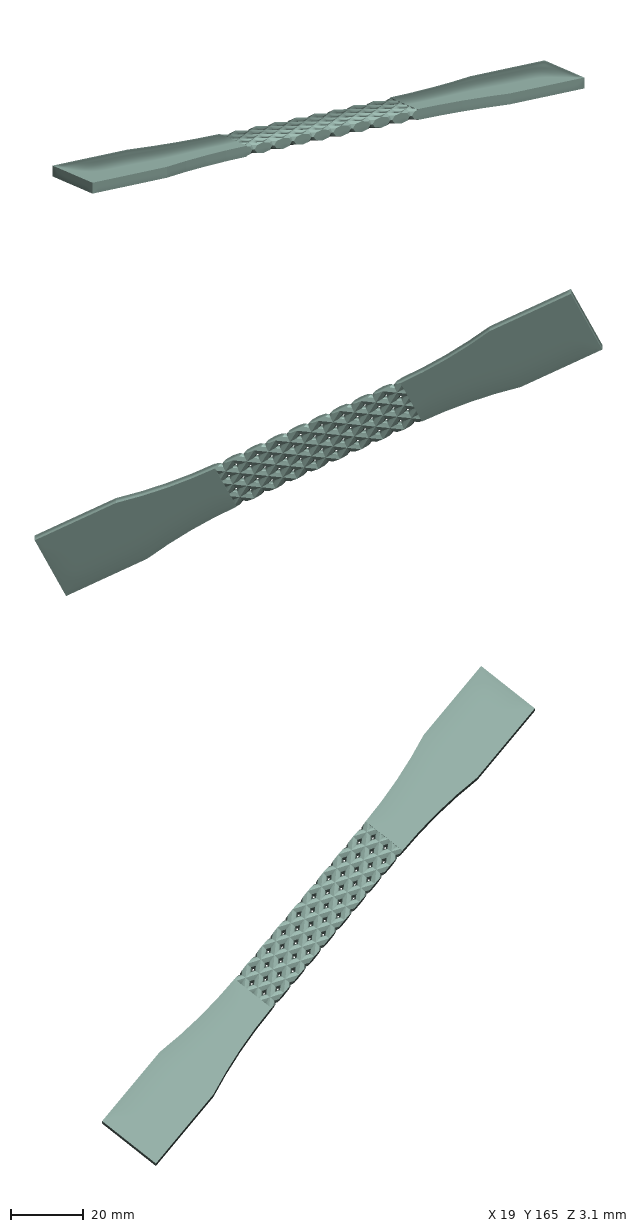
import cadquery as cq
import math

length = 165.0
thickness = 3.1
grip_width = 19.0
grip_spacing = 115.0
gauge_width = 13.0
gauge_length = 57.1
shoulder_facets = 4

pits_across = 3
pit_width = gauge_width / pits_across
pit_length = 6.6
throat_ratio = 0.37
throat_depth = 0.46
neck_ratio = 0.11


def shoulder_points():
    """Points from gauge to grip on the arc that leaves the gauge edge tangentially."""
    rise = (grip_width - gauge_width) / 2
    run = (grip_spacing - gauge_length) / 2
    radius = (run**2 + rise**2) / (2 * rise)
    points = []
    for i in range(shoulder_facets + 1):
        along = run * i / shoulder_facets
        outward = radius - math.sqrt(radius**2 - along**2)
        points.append((gauge_width / 2 + outward, gauge_length / 2 + along))
    return points


def grip_end():
    """Solid end at +Y: faceted shoulder widening into the flat grip."""
    right_side = shoulder_points() + [(grip_width / 2, length / 2)]
    left_side = [(-x, y) for x, y in reversed(right_side)]
    return (
        cq.Workplane("XY", origin=(0, 0, -thickness / 2))
        .polyline(right_side + left_side)
        .close()
        .extrude(thickness)
    )


def rhombus(ratio, z):
    """Corners of a pit cross-section at height z."""
    half_x = ratio * pit_width / 2
    half_y = ratio * pit_length / 2
    return [cq.Vector(x, y, z) for x, y in ((half_x, 0), (0, half_y), (-half_x, 0), (0, -half_y))]


def pit():
    """Cutter for one hole: shallow funnel, steep throat and neck, mirrored about mid-thickness."""
    surface = thickness / 2
    throat = surface - throat_depth
    sections = [
        rhombus(1, surface),
        rhombus(throat_ratio, throat),
        rhombus(neck_ratio, 0),
        rhombus(throat_ratio, -throat),
        rhombus(1, -surface),
    ]
    outlines = [sections[0], sections[-1]]
    for upper, lower in zip(sections, sections[1:]):
        for i in range(4):
            j = (i + 1) % 4
            outlines.append([upper[i], upper[j], lower[j], lower[i]])
    faces = [cq.Face.makeFromWires(cq.Wire.makePolygon(corners, close=True)) for corners in outlines]
    return cq.Solid.makeSolid(cq.Shell.makeShell(faces))


def gauge_lattice():
    """Gauge block with staggered pits meeting in sharp ridges; one pit sits on each side edge at Y = 0."""
    cutter = pit()
    last_row = math.ceil(gauge_length / pit_length)
    cutters = []
    for row in range(-last_row, last_row + 1):
        for column in range(-pits_across, pits_across + 1):
            if (row + column + pits_across) % 2 == 0:
                position = cq.Vector(column * pit_width / 2, row * pit_length / 2, 0)
                cutters.append(cutter.translate(position))
    block = cq.Workplane("XY").box(gauge_width, gauge_length, thickness)
    return cq.Workplane(block.val().cut(*cutters))


end = grip_end()
result = gauge_lattice().union(end).union(end.mirror("XZ"))